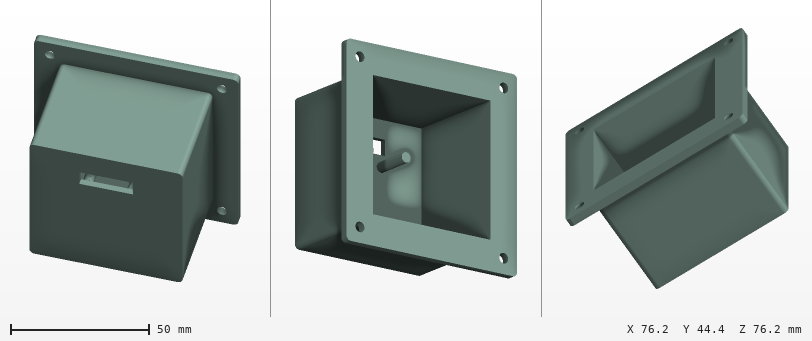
import cadquery as cq

flange_side = 76.2
flange_thickness = 3.2
corner_radius = 2.0
total_depth = 44.4

housing_side = 57.15
wall = 2.4

screw_hole_diameter = 4.0
screw_hole_spacing = 64.15

window_width = 20.0
window_height = 6.1
window_center_z = 15.9

post_diameter = 4.0
post_spacing = 16.45
post_center_z = 8.2
post_length = 15.25


def square_block(side, front_y, rear_y):
    """Square block centred on the Y axis."""
    return cq.Workplane("XZ", origin=(0, rear_y, 0)).rect(side, side).extrude(rear_y - front_y)


def rounded_block(side, front_y, rear_y):
    """Square block with its edges along Y rounded."""
    return square_block(side, front_y, rear_y).edges("|Y").fillet(corner_radius)


flange_front_y = total_depth - flange_thickness
flange = rounded_block(flange_side, flange_front_y, total_depth)
housing = rounded_block(housing_side, 0, total_depth)
body = flange.union(housing)

cavity_side = housing_side - 2 * wall
cavity = square_block(cavity_side, wall, total_depth)

screw_holes = (
    cq.Workplane("XZ", origin=(0, total_depth, 0))
    .rect(screw_hole_spacing, screw_hole_spacing, forConstruction=True)
    .vertices()
    .circle(screw_hole_diameter / 2)
    .extrude(flange_thickness)
)

window = (
    cq.Workplane("XZ", origin=(0, wall, window_center_z))
    .rect(window_width, window_height)
    .extrude(wall)
)

posts = (
    cq.Workplane("XZ", origin=(0, wall, post_center_z))
    .pushPoints([(-post_spacing / 2, 0), (post_spacing / 2, 0)])
    .circle(post_diameter / 2)
    .extrude(-post_length)
)

result = body.cut(cavity).cut(screw_holes).cut(window).union(posts)